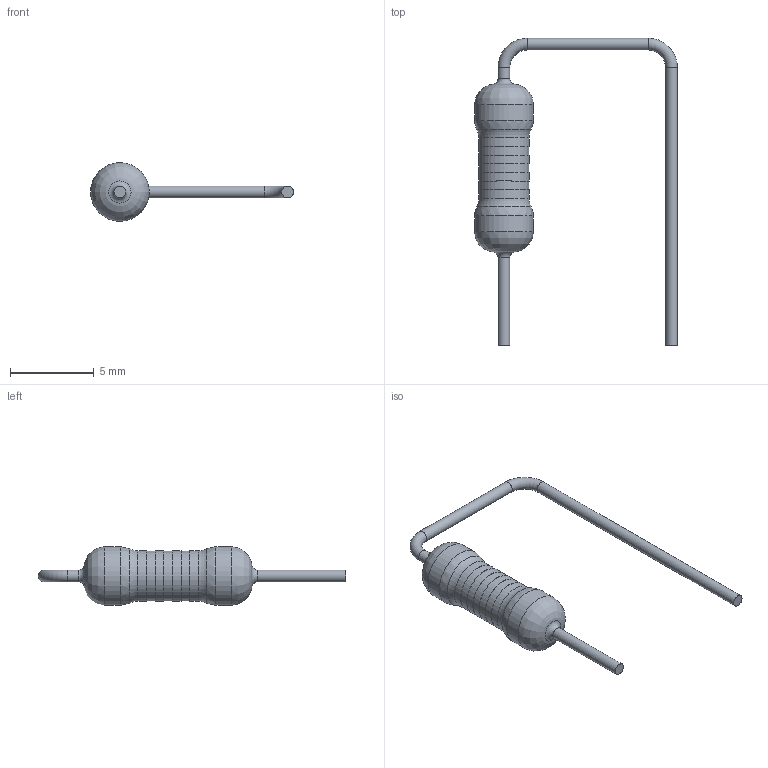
import cadquery as cq
import math


lead_radius = 0.7 / 2
lead_pitch = 10.0
bend_radius = 1.4
straight_length = 1.0
free_length = 5.6

body_length = 10.0
cap_radius = 3.5 / 2
cap_round = 1.2
cap_land = 0.95
neck_fillet = 0.35

waist_radius = 3.0 / 2
groove_radius = 2.98 / 2
waist_length = 3.6
band_count = 7
band_width = waist_length / band_count

half_body = body_length / 2
half_waist = waist_length / 2
cap_outer = half_body - cap_round
cap_inner = cap_outer - cap_land
lead_tip = -half_body - free_length
fold_start = half_body + straight_length
fold_line = fold_start + bend_radius


def on_circle(center, radius, angle):
    """Point on a circle in the (radial, axial) plane; angle measured from the radial direction."""
    return (center[0] + radius * math.cos(angle), center[1] + radius * math.sin(angle))


def make_end():
    """Revolved +Y end: waist shoulder, cap and neck, all joined tangentially."""
    shoulder_length = cap_inner - half_waist
    shoulder_angle = 2 * math.atan((cap_radius - waist_radius) / shoulder_length)
    shoulder_round = shoulder_length / math.sin(shoulder_angle) - cap_round
    inner_center = (cap_radius - cap_round, cap_inner)
    shoulder_center = (waist_radius + shoulder_round, half_waist)

    outer_center = (cap_radius - cap_round, cap_outer)
    neck_radial = lead_radius + neck_fillet
    center_distance = cap_round + neck_fillet
    neck_angle = math.acos((neck_radial - outer_center[0]) / center_distance)
    neck_center = on_circle(outer_center, center_distance, neck_angle)

    profile = (
        cq.Workplane("XY")
        .moveTo(0, half_waist)
        .lineTo(waist_radius, half_waist)
        .threePointArc(
            on_circle(shoulder_center, shoulder_round, math.pi - shoulder_angle / 2),
            on_circle(shoulder_center, shoulder_round, math.pi - shoulder_angle),
        )
        .threePointArc(
            on_circle(inner_center, cap_round, -shoulder_angle / 2),
            (cap_radius, cap_inner),
        )
        .lineTo(cap_radius, cap_outer)
        .threePointArc(
            on_circle(outer_center, cap_round, neck_angle / 2),
            on_circle(outer_center, cap_round, neck_angle),
        )
        .threePointArc(
            on_circle(neck_center, neck_fillet, math.pi + neck_angle / 2),
            (lead_radius, neck_center[1]),
        )
        .lineTo(0, neck_center[1])
        .close()
    )
    return profile.revolve(360, (0, 0), (0, 1))


def make_waist():
    """Row of coaxial bands; every second one is a shallow groove."""
    waist = cq.Workplane("XY")
    for index in range(band_count):
        radius = groove_radius if index % 2 else waist_radius
        start = -half_waist + index * band_width
        band = cq.Solid.makeCylinder(radius, band_width, cq.Vector(0, start, 0), cq.Vector(0, 1, 0))
        waist = waist.add(band)
    return waist.combine()


def make_body():
    end = make_end()
    return make_waist().union(end).union(end.mirror("XZ"))


def make_lead():
    """One round wire along the body axis, over the fold and back down beside the body."""
    bend_offset = bend_radius * (1 - math.cos(math.pi / 4))
    path = (
        cq.Workplane("XY")
        .moveTo(0, lead_tip)
        .lineTo(0, fold_start)
        .threePointArc((bend_offset, fold_line - bend_offset), (bend_radius, fold_line))
        .lineTo(lead_pitch - bend_radius, fold_line)
        .threePointArc(
            (lead_pitch - bend_offset, fold_line - bend_offset),
            (lead_pitch, fold_start),
        )
        .lineTo(lead_pitch, lead_tip)
    )
    section = cq.Workplane("XZ", origin=(0, lead_tip, 0)).circle(lead_radius)
    return section.sweep(path)


result = make_body().union(make_lead())